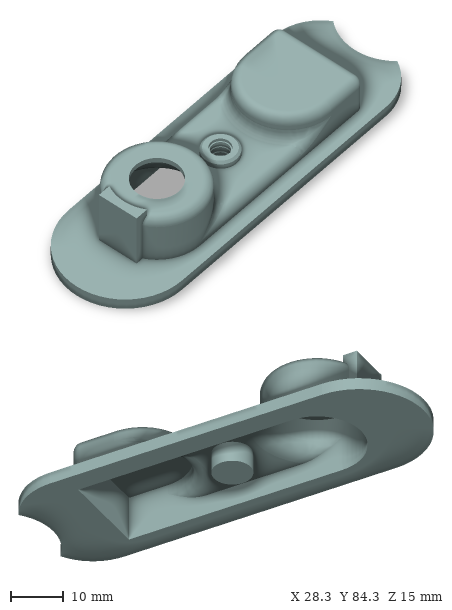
import cadquery as cq
import math

plate_length = 84.3
plate_width = 28.3
plate_thickness = 2.5
corner_radius = 12.0
notch_depth = 3.0
notch_width = 16

body_width = 21.7
body_radius = body_width / 2
edge_radius = 2.0
bridge_top = 5.6
tower_y = -18.7
tower_top = 13.6
block_arc_y = 19.55
block_back_y = 29.25
block_top = 10.8

opening_diameter = 10.7
cavity_diameter = 19.3
wall = (body_width - cavity_diameter) / 2

tab_width = 9.4
tab_outer_y = -30.2
tab_top = 15.0

boss_y = -0.2
boss_diameter = 8.0
boss_top = 7.25
boss_chamfer = 0.5
boss_hole_diameter = 4.55
boss_hole_depth = 4.2
thread_diameter = 4.05
thread_count = 3


def cylinder(y, diameter, bottom, top):
    """Vertical cylinder centred on x = 0."""
    return (
        cq.Workplane("XY", origin=(0, y, bottom))
        .circle(diameter / 2)
        .extrude(top - bottom)
    )


def box(width, y_start, y_end, bottom, top):
    """Box symmetric about x = 0."""
    return (
        cq.Workplane("XY", origin=(0, (y_start + y_end) / 2, bottom))
        .rect(width, y_end - y_start)
        .extrude(top - bottom)
    )


def make_plate():
    """Plate with one round end and one notched end with round shoulders."""
    half = plate_width / 2
    end_y = plate_length / 2
    tip_x = notch_width / 2
    center_x = half - corner_radius
    tip_angle = math.acos((tip_x - center_x) / corner_radius)
    shoulder_y = end_y - corner_radius * math.sin(tip_angle)
    mid_x = center_x + corner_radius * math.cos(tip_angle / 2)
    mid_y = shoulder_y + corner_radius * math.sin(tip_angle / 2)
    return (
        cq.Workplane("XY")
        .moveTo(-half, half - end_y)
        .threePointArc((0, -end_y), (half, half - end_y))
        .lineTo(half, shoulder_y)
        .threePointArc((mid_x, mid_y), (tip_x, end_y))
        .threePointArc((0, end_y - notch_depth), (-tip_x, end_y))
        .threePointArc((-mid_x, mid_y), (-half, shoulder_y))
        .close()
        .extrude(plate_thickness)
    )


def make_block(radius, back_y, height):
    """Block with a half-round front end."""
    return (
        cq.Workplane("XY")
        .moveTo(-radius, back_y)
        .lineTo(-radius, block_arc_y)
        .threePointArc((0, block_arc_y - radius), (radius, block_arc_y))
        .lineTo(radius, back_y)
        .close()
        .extrude(height)
    )


def make_flare(y, radius, height, bend_radius):
    """Round core with a concave flare that blends its wall into a flat at the given height."""
    outer = radius + bend_radius
    upper = height + bend_radius
    bend = bend_radius * (1 - math.sqrt(0.5))
    return (
        cq.Workplane("XZ", origin=(0, y, 0))
        .moveTo(0, 0)
        .lineTo(outer, 0)
        .lineTo(outer, height)
        .threePointArc((radius + bend, height + bend), (radius, upper))
        .lineTo(0, upper)
        .close()
        .revolve(360, (0, 0, 0), (0, 1, 0))
    )


def make_bridge():
    """Bridge whose rounded sides climb the flare at the foot of the block."""
    flare_box = box(body_width, block_arc_y - body_radius - edge_radius, block_arc_y, 0, block_top)
    flare = make_flare(block_arc_y, body_radius, bridge_top, edge_radius).intersect(flare_box)
    bridge = box(body_width, tower_y, block_arc_y, 0, bridge_top).union(flare)
    rim = [edge for edge in bridge.faces("<X or >X").edges().vals() if is_bridge_rim(edge)]
    return bridge.newObject(rim).fillet(edge_radius)


def is_bridge_rim(edge):
    """Tell the upper side edges of the bridge from its bottom and end edges."""
    bounds = edge.BoundingBox()
    return bounds.zmin > bridge_top / 2 and bounds.ylen > edge_radius


def join_tower(bridge):
    """Add the tower and round its seam and rim, on one half that is then mirrored."""
    left_side = cq.Workplane("XY").box(plate_width, plate_length, plate_length)
    left_side = left_side.translate((-plate_width / 2, 0, 0))
    half = bridge.union(cylinder(tower_y, body_width, 0, tower_top)).intersect(left_side)
    seam = [edge for edge in half.edges().vals() if is_tower_seam(edge)]
    half = half.newObject(seam).fillet(edge_radius)
    half = half.faces(">Z").edges("%CIRCLE").fillet(edge_radius)
    return half.union(half.mirror("YZ"))


def is_tower_seam(edge):
    """Select the curved edges between the tower wall and the bridge."""
    center = edge.Center()
    at_bridge = plate_thickness < center.z <= bridge_top
    return at_bridge and center.y < 0 and edge.geomType() != "LINE"


def cut_boss_hole(body):
    """Blind hole in the screw boss, with ring grooves standing for its thread."""
    floor = boss_top - boss_hole_depth
    body = body.cut(cylinder(boss_y, thread_diameter, floor, boss_top))
    pitch = boss_hole_depth / thread_count
    for index in range(thread_count):
        top = boss_top - index * pitch
        body = body.cut(cylinder(boss_y, boss_hole_diameter, top - pitch / 2, top))
    return body


def make_cavity():
    """Hollow under the tower, the bridge and the block, open at the bottom."""
    radius = cavity_diameter / 2
    ceiling = bridge_top - wall
    bend_radius = edge_radius + wall
    passage = box(cavity_diameter, tower_y, block_arc_y, 0, tower_top)
    cavity = (
        cylinder(tower_y, cavity_diameter, 0, tower_top - wall)
        .union(box(cavity_diameter, tower_y, block_arc_y, 0, ceiling))
        .union(make_block(radius, block_back_y - wall, block_top - wall))
    )
    for y in (tower_y, block_arc_y):
        cavity = cavity.union(make_flare(y, radius, ceiling, bend_radius).intersect(passage))
    return cavity


block = (
    make_block(body_radius, block_back_y, block_top)
    .edges("|Z and >Y")
    .fillet(edge_radius)
    .faces(">Z")
    .edges()
    .fillet(edge_radius)
)
boss = cylinder(boss_y, boss_diameter, 0, boss_top).faces(">Z").chamfer(boss_chamfer)
tab = (
    box(tab_width, tab_outer_y, tower_y, 0, tab_top)
    .cut(cylinder(tower_y, cavity_diameter, 0, tab_top))
)

body = join_tower(make_bridge())
for feature in (block, make_plate()):
    body = body.union(feature)

body = body.cut(make_cavity())
body = body.cut(cylinder(tower_y, opening_diameter, 0, tower_top))
body = body.union(tab).union(boss)
result = cut_boss_hole(body)